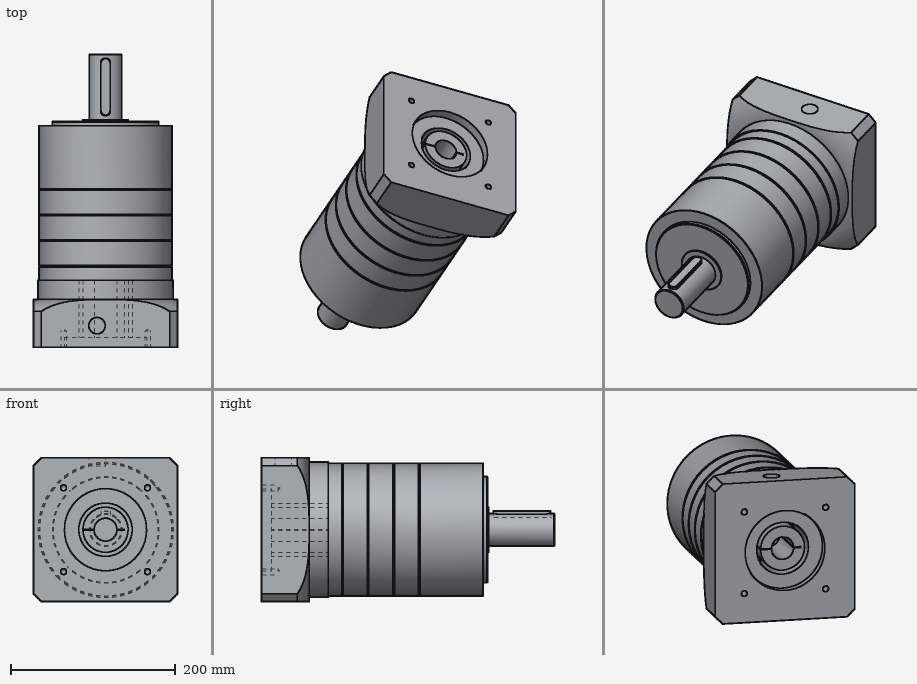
import cadquery as cq
import math


SHAFT_END_Y = 356.5
SHAFT_LENGTH = 80.0
COLLAR_LENGTH = 1.8
PILOT_LENGTH = 5.5
HOUSING_START_Y = 81.3
ADAPTER_SHOULDER_Y = 58.5
COLLAR_END_Y = SHAFT_END_Y - SHAFT_LENGTH
PILOT_END_Y = COLLAR_END_Y - COLLAR_LENGTH
HOUSING_END_Y = PILOT_END_Y - PILOT_LENGTH

HOUSING_RADIUS = 81.0
PILOT_RADIUS = 65.0
PILOT_CHAMFER = 1.0
HOUSING_EDGE_CHAMFER = 0.5
GROOVE_WIDTH = 2.0
GROOVE_DEPTH = 0.7
FIRST_GROOVE_Y = 98.8
GROOVE_PITCH = 31.0
GROOVE_COUNT = 4

SHAFT_RADIUS = 20.0
SHAFT_CHAMFER = 1.0
COLLAR_RADIUS = 27.5
KEY_WIDTH = 12.0
KEY_LENGTH = 70.0
KEY_HEIGHT = 8.0
KEY_TOP_Z = 23.0
KEY_CHAMFER = 0.55
KEY_CENTER_Y = (SHAFT_END_Y + COLLAR_END_Y) / 2
KEY_BOTTOM_Z = KEY_TOP_Z - KEY_HEIGHT

FLANGE_SIDE = 175.0
FLANGE_CORNER_CHAMFER = 9.5
NECK_RADIUS = 82.5
SHOULDER_ROUND_RADIUS = 49.0
MOTOR_PILOT_RADIUS = 50.0
MOTOR_PILOT_DEPTH = 12.0
HUB_CLEARANCE_RADIUS = 32.5
SCREW_HOLE_SPACING = 102.0
SCREW_HOLE_RADIUS = 3.5
SCREW_HOLE_DEPTH = 20.0
DRILL_TIP_ANGLE = 118.0

PLUG_RADIUS = 10.0
PLUG_LENGTH = 10.0
PLUG_X = -10.5
PLUG_Y = 26.5

HUB_RADIUS = 27.5
HUB_FRONT_Y = MOTOR_PILOT_DEPTH
HUB_BORE_RADIUS = 14.0
HUB_SLIT_WIDTH = 1.0
HUB_SHORT_SLIT_RADIUS = 22.8


def cylinder(radius, start_y, end_y, x=0.0, z=0.0):
    """Cylinder parallel to Y between two positions."""
    length = end_y - start_y
    return cq.Workplane(cq.Solid.makeCylinder(radius, length, cq.Vector(x, start_y, z), cq.Vector(0, 1, 0)))


def revolve_about_y(outline):
    """Full revolution of an XY outline about the Y axis."""
    return outline.close().revolve(360, (0, 0, 0), (0, 1, 0))


def make_keyway():
    """Round-ended block that fills the keyway up to the top of the key."""
    return (
        cq.Workplane("XY", origin=(0, KEY_CENTER_Y, KEY_BOTTOM_Z))
        .slot2D(KEY_LENGTH, KEY_WIDTH, 90)
        .extrude(KEY_HEIGHT)
    )


def make_key():
    return make_keyway().faces(">Z").chamfer(KEY_CHAMFER)


def make_shaft():
    journal = cylinder(SHAFT_RADIUS, PILOT_END_Y, SHAFT_END_Y).faces(">Y").chamfer(SHAFT_CHAMFER)
    collar = cylinder(COLLAR_RADIUS, PILOT_END_Y, COLLAR_END_Y)
    return journal.union(collar).cut(make_keyway())


def make_groove(center_y):
    """V-shaped ring that cuts one groove around the housing."""
    half_width = GROOVE_WIDTH / 2
    outline = (
        cq.Workplane("XY")
        .moveTo(HOUSING_RADIUS, center_y - half_width)
        .lineTo(HOUSING_RADIUS - GROOVE_DEPTH, center_y)
        .lineTo(HOUSING_RADIUS, center_y + half_width)
    )
    return revolve_about_y(outline)


def make_housing():
    barrel = cylinder(HOUSING_RADIUS, HOUSING_START_Y, HOUSING_END_Y)
    barrel = barrel.faces(">Y").chamfer(HOUSING_EDGE_CHAMFER)
    pilot = cylinder(PILOT_RADIUS, HOUSING_END_Y, PILOT_END_Y).faces(">Y").chamfer(PILOT_CHAMFER)
    housing = barrel.union(pilot)
    for index in range(GROOVE_COUNT):
        housing = housing.cut(make_groove(FIRST_GROOVE_Y + index * GROOVE_PITCH))
    return housing


def make_flange_block():
    """Square flange with chamfered corners whose shoulder rounds off outside the neck."""
    block = (
        cq.Workplane("XZ")
        .rect(FLANGE_SIDE, FLANGE_SIDE)
        .extrude(-ADAPTER_SHOULDER_Y)
        .edges("|Y")
        .chamfer(FLANGE_CORNER_CHAMFER)
    )
    rim_radius = NECK_RADIUS + SHOULDER_ROUND_RADIUS
    arc_mid_reach = SHOULDER_ROUND_RADIUS * math.sqrt(0.5)
    arc_center_y = ADAPTER_SHOULDER_Y - SHOULDER_ROUND_RADIUS
    envelope = (
        cq.Workplane("XY")
        .lineTo(rim_radius, 0)
        .lineTo(rim_radius, arc_center_y)
        .threePointArc(
            (NECK_RADIUS + arc_mid_reach, arc_center_y + arc_mid_reach),
            (NECK_RADIUS, ADAPTER_SHOULDER_Y),
        )
        .lineTo(0, ADAPTER_SHOULDER_Y)
    )
    return block.intersect(revolve_about_y(envelope))


def make_screw_hole(x, z):
    """Blind drilled hole with a conical bottom."""
    tip_length = SCREW_HOLE_RADIUS / math.tan(math.radians(DRILL_TIP_ANGLE / 2))
    tip = cq.Solid.makeCone(
        SCREW_HOLE_RADIUS, 0, tip_length, cq.Vector(x, SCREW_HOLE_DEPTH, z), cq.Vector(0, 1, 0)
    )
    return cylinder(SCREW_HOLE_RADIUS, 0, SCREW_HOLE_DEPTH, x, z).union(cq.Workplane(tip))


def make_plug():
    """Plug flush with the top of the adapter; it also cuts its own seat."""
    return (
        cq.Workplane("XY", origin=(PLUG_X, PLUG_Y, FLANGE_SIDE / 2 - PLUG_LENGTH))
        .circle(PLUG_RADIUS)
        .extrude(PLUG_LENGTH)
    )


def make_adapter():
    adapter = make_flange_block().union(cylinder(NECK_RADIUS, ADAPTER_SHOULDER_Y, HOUSING_START_Y))
    adapter = adapter.cut(cylinder(MOTOR_PILOT_RADIUS, 0, MOTOR_PILOT_DEPTH))
    adapter = adapter.cut(cylinder(HUB_CLEARANCE_RADIUS, 0, HOUSING_START_Y))
    for x_side in (-1, 1):
        for z_side in (-1, 1):
            hole = make_screw_hole(x_side * SCREW_HOLE_SPACING / 2, z_side * SCREW_HOLE_SPACING / 2)
            adapter = adapter.cut(hole)
    return adapter.cut(make_plug())


def make_hub():
    """Split clamping sleeve: one slit opens through the wall, the opposite one stops inside it."""
    sleeve = cylinder(HUB_RADIUS, HUB_FRONT_Y, HOUSING_START_Y)
    sleeve = sleeve.cut(cylinder(HUB_BORE_RADIUS, HUB_FRONT_Y, HOUSING_START_Y))
    length = HOUSING_START_Y - HUB_FRONT_Y
    slit_span = HUB_RADIUS + HUB_SHORT_SLIT_RADIUS
    slit = (
        cq.Workplane("XY")
        .box(slit_span, length, HUB_SLIT_WIDTH, centered=(False, False, True))
        .translate((-HUB_RADIUS, HUB_FRONT_Y, 0))
    )
    return sleeve.cut(slit)


housing = make_housing()
shaft = make_shaft()
key = make_key()
adapter = make_adapter()
plug = make_plug()
hub = make_hub()

result = cq.Compound.makeCompound(
    [housing.val(), shaft.val(), key.val(), adapter.val(), plug.val(), hub.val()]
)